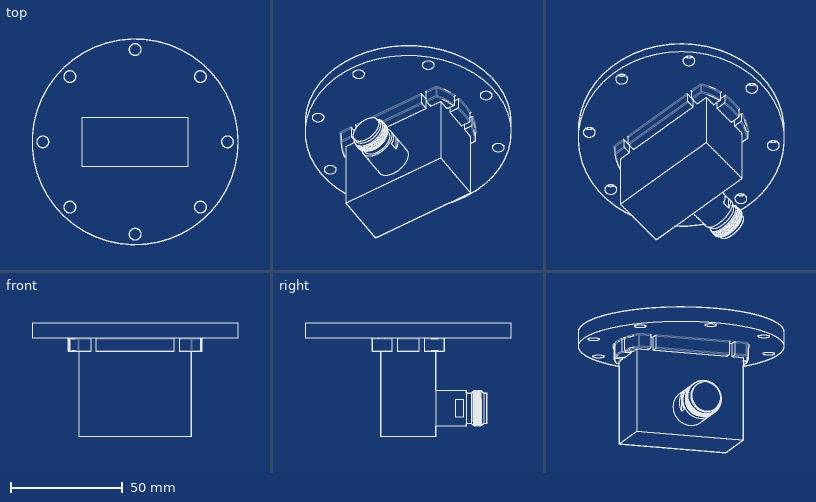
import cadquery as cq

flange_diameter = 92.05
flange_thickness = 6.7
bolt_circle_diameter = 82.5
bolt_hole_diameter = 5.2
bolt_count = 8

total_height = 50.8
opening_x = 47.4
opening_y = 21.9
guide_x = 50.3
guide_y = 24.8
end_plate_thickness = 2.5

collar_diameter = 60.0
collar_width_y = 32.3
collar_height = 6.1
collar_fillet = 0.5
collar_slot_width = 2.4
collar_slot_x = 18.6
collar_slot_y = 6.1

connector_height = 12.7
barrel_diameter = 15.9
barrel_length = 13.6
flat_start = 8.65
flat_length = 3.6
flat_spacing = 13.8
neck_diameter = 13.6
neck_length = 22.7
thread_start = 15.8
thread_length = 5.5
thread_diameter = barrel_diameter
thread_pitch = 1.1
thread_depth = 0.6
thread_groove_width = 0.7
thread_start_angle = 90

bottom_z = -total_height
collar_bottom_z = -flange_thickness - collar_height

tolerance = 0.01


def make_collar():
    """Disc with two flattened sides, rounded at its corners and bottom rim."""
    base = cq.Workplane("XY", origin=(0, 0, collar_bottom_z))
    disc = base.circle(collar_diameter / 2).extrude(collar_height)
    band = base.rect(collar_diameter, collar_width_y).extrude(collar_height)
    collar = disc.intersect(band)
    collar = collar.edges("|Z").edges("<Y or >Y").fillet(collar_fillet)
    return collar.faces("<Z").edges().fillet(collar_fillet)


def make_collar_slots():
    """Slots that split the collar into pads, two across each side."""
    slot_z = (collar_bottom_z - flange_thickness) / 2
    along_y = (
        cq.Workplane("XY", origin=(0, 0, slot_z))
        .pushPoints([(-collar_slot_x, 0), (collar_slot_x, 0)])
        .box(collar_slot_width, flange_diameter, collar_height)
    )
    along_x = (
        cq.Workplane("XY", origin=(0, 0, slot_z))
        .pushPoints([(0, -collar_slot_y), (0, collar_slot_y)])
        .box(flange_diameter, collar_slot_width, collar_height)
    )
    return along_y.union(along_x)


def make_flange_with_collar():
    """Round flange and slotted collar, with a fillet where the collar meets the flange."""
    flange = cq.Workplane("XY").circle(flange_diameter / 2).extrude(-flange_thickness)
    joined = flange.union(make_collar())
    joint_line = cq.selectors.BoxSelector(
        (-collar_diameter / 2 - tolerance, -collar_width_y / 2 - tolerance, -flange_thickness - tolerance),
        (collar_diameter / 2 + tolerance, collar_width_y / 2 + tolerance, -flange_thickness + tolerance),
        boundingbox=True,
    )
    return joined.edges(joint_line).fillet(collar_fillet).cut(make_collar_slots())


def make_housing():
    """Flange, collar and closed waveguide as one solid."""
    guide = cq.Workplane("XY").rect(guide_x, guide_y).extrude(bottom_z)
    cavity = cq.Workplane("XY").rect(opening_x, opening_y).extrude(bottom_z + end_plate_thickness)
    bolt_holes = (
        cq.Workplane("XY")
        .polarArray(bolt_circle_diameter / 2, 0, 360, bolt_count)
        .circle(bolt_hole_diameter / 2)
        .extrude(-flange_thickness)
    )
    return make_flange_with_collar().union(guide).cut(cavity).cut(bolt_holes)


def make_thread():
    """Chamfered ring with a helical V groove, on the Z axis."""
    ring = (
        cq.Workplane("XY", origin=(0, 0, thread_start))
        .circle(thread_diameter / 2)
        .extrude(thread_length)
        .edges()
        .chamfer((thread_diameter - neck_diameter) / 2)
    )
    overshoot = 1.2
    root_radius = thread_diameter / 2 - thread_depth
    mouth_radius = root_radius + overshoot * thread_depth
    mouth_half_width = overshoot * thread_groove_width / 2
    helix = cq.Workplane(cq.Wire.makeHelix(thread_pitch, thread_length, root_radius))
    groove = (
        cq.Workplane("XZ")
        .polyline([(root_radius, 0), (mouth_radius, mouth_half_width), (mouth_radius, -mouth_half_width)])
        .close()
        .sweep(helix, isFrenet=True)
        .rotate((0, 0, 0), (0, 0, 1), thread_start_angle)
        .translate((0, 0, thread_start))
    )
    return ring.cut(groove)


def make_connector():
    """Barrel with two wrench flats, neck and thread, built on Z and then turned to +Y."""
    barrel = cq.Workplane("XY").circle(barrel_diameter / 2).extrude(barrel_length)
    flat_depth = (barrel_diameter - flat_spacing) / 2
    flat_center_x = (flat_spacing + flat_depth) / 2
    flat_cuts = (
        cq.Workplane("XY", origin=(0, 0, flat_start + flat_length / 2))
        .pushPoints([(-flat_center_x, 0), (flat_center_x, 0)])
        .box(flat_depth, barrel_diameter, flat_length)
    )
    barrel = barrel.cut(flat_cuts)
    neck = cq.Workplane("XY").circle(neck_diameter / 2).extrude(neck_length)
    connector = barrel.union(neck).union(make_thread())
    connector = connector.rotate((0, 0, 0), (1, 0, 0), -90)
    return connector.translate((0, guide_y / 2, bottom_z + connector_height))


housing = make_housing()
connector = make_connector()

result = cq.Compound.makeCompound([housing.val(), connector.val()])